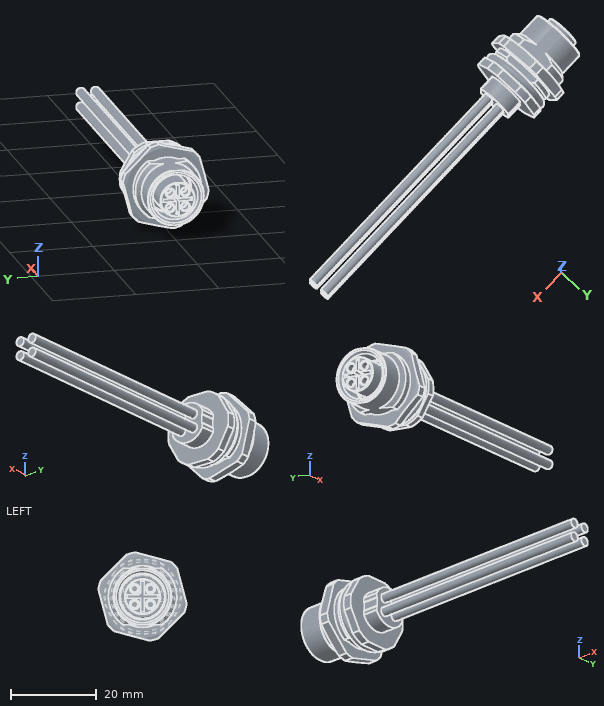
import cadquery as cq
import math

total_length = 83.7
sleeve_start = 1.6
shoulder_start = 7.6
shoulder_end = 8.6
nut_start = 10.7
nut_end = 13.3
thread_chamfer_start = 14.6
thread_end = 15.3
flange_start = 17.3
flange_end = 19.5
rear_body_end = 23.5

sleeve_radius = 6.8
sleeve_edge_chamfer = 0.2
thread_radius = 7.95
thread_end_radius = 7.4
neck_radius = 6.5
flat_height = 6.6

socket_radius = 10.9 / 2
socket_mouth_radius = 12.2 / 2
socket_floor = 8.4
insert_radius = 8.3 / 2
insert_edge_chamfer = 0.2
seal_tube_radius = 1.1 / 2
seal_ring_radius = 4.6

contact_offset = 1.8
contact_mouth_diameter = 2.3
contact_hole_diameter = 1.8
contact_bore_diameter = 1.6
contact_hole_depth = 2.5
contact_bore_depth = 5.0
slot_width = 0.75
slot_length = 7.0
slot_depth = 4.2
slot_corner_leg = 0.6

nut_across_flats = 19.1
nut_corner_diameter = 20.9
nut_turn = 15.0
nut_face_chamfer = 0.25
nut_bore_radius = 7.2
hexagon_sides = 6
flange_across_flats = 17.1
flange_corner_diameter = 18.0

o_ring_tube_radius = 2.3 / 2
o_ring_radius = 7.6
o_ring_position = 16.3

rear_body_radius = 4.9
rear_flat_distance = 4.4
rear_groove_width = 2.2
rear_groove_depth = 0.2
wire_diameter = 2.3
wire_offset = 1.75


def cylinder(radius, start, end):
    """Solid cylinder on the X axis."""
    return cq.Workplane("YZ", origin=(start, 0, 0)).circle(radius).extrude(end - start)


def torus(ring_radius, tube_radius, position):
    """Ring around the X axis."""
    tube = cq.Workplane("XY").center(position, ring_radius).circle(tube_radius)
    return tube.revolve(360, (0, -ring_radius, 0), (1, -ring_radius, 0))


def block(start, end, width, height, y=0):
    """Block from start to end along X, width along Y and height along Z, centred at y."""
    return cq.Workplane("YZ", origin=(start, y, 0)).rect(width, height).extrude(end - start)


def revolve_profile(points):
    """Turn a closed (x, radius) outline around the X axis."""
    return cq.Workplane("XY").polyline(points).close().revolve(360, (0, 0, 0), (1, 0, 0))


def round_cornered_hexagon(across_flats, corner_diameter, start, end, turn):
    """Hexagonal plate with its corners on a circle; at turn 0 two corners lie on the Y axis."""
    hexagon = (
        cq.Workplane("YZ", origin=(start, 0, 0))
        .polygon(hexagon_sides, across_flats / math.cos(math.pi / hexagon_sides))
        .extrude(end - start)
        .rotate((0, 0, 0), (1, 0, 0), turn)
    )
    return hexagon.intersect(cylinder(corner_diameter / 2, start, end))


def square_pattern(offset):
    """The four (y, z) places of the contacts or wires."""
    return [(y, z) for y in (-offset, offset) for z in (-offset, offset)]


def make_threaded_body():
    body = revolve_profile([
        (sleeve_start, 0),
        (sleeve_start, sleeve_radius - sleeve_edge_chamfer),
        (sleeve_start + sleeve_edge_chamfer, sleeve_radius),
        (shoulder_start, sleeve_radius),
        (shoulder_end, thread_radius),
        (thread_chamfer_start, thread_radius),
        (thread_end, thread_end_radius),
        (thread_end, neck_radius),
        (flange_start, neck_radius),
        (flange_start, 0),
    ])
    return body.intersect(block(sleeve_start, flange_start, 2 * thread_radius, 2 * flat_height))


def make_socket():
    mouth_depth = socket_mouth_radius - socket_radius
    return revolve_profile([
        (sleeve_start, 0),
        (sleeve_start, socket_mouth_radius),
        (sleeve_start + mouth_depth, socket_radius),
        (socket_floor, socket_radius),
        (socket_floor, 0),
    ])


def make_insert():
    insert = cylinder(insert_radius, 0, socket_floor)
    insert = insert.faces("<X").chamfer(insert_edge_chamfer)
    contacts = square_pattern(contact_offset)
    face = cq.Workplane("YZ").pushPoints(contacts)
    mouth_flare = (contact_mouth_diameter - contact_hole_diameter) / 2
    insert = insert.cut(face.circle(contact_mouth_diameter / 2).extrude(mouth_flare, taper=45))
    insert = insert.cut(face.circle(contact_hole_diameter / 2).extrude(contact_hole_depth))
    insert = insert.cut(face.circle(contact_bore_diameter / 2).extrude(contact_bore_depth))
    insert = insert.cut(block(0, slot_depth, slot_width, slot_length))
    insert = insert.cut(block(0, slot_depth, slot_length, slot_width))
    corner = slot_width / 2
    relief_end = corner + slot_corner_leg
    relief = (
        cq.Workplane("YZ")
        .polyline([(0, 0), (relief_end, 0), (relief_end, corner), (corner, relief_end), (0, relief_end)])
        .close()
        .extrude(slot_depth)
    )
    return insert.cut(relief)


def make_nut():
    nut = round_cornered_hexagon(nut_across_flats, nut_corner_diameter, nut_start, nut_end, nut_turn)
    corner_radius = nut_corner_diameter / 2
    face_radius = nut_across_flats / 2
    chamfer_cone = revolve_profile([
        (nut_start, 0),
        (nut_start, face_radius),
        (nut_start + nut_face_chamfer, corner_radius),
        (nut_end, corner_radius),
        (nut_end, 0),
    ])
    return nut.intersect(chamfer_cone).cut(cylinder(nut_bore_radius, nut_start, nut_end))


def make_rear_body():
    rear_body = cylinder(rear_body_radius, flange_end, rear_body_end)
    rear_body = rear_body.intersect(
        block(flange_end, rear_body_end, 2 * rear_flat_distance, 2 * rear_body_radius)
    )
    for side in (-1, 1):
        rear_body = rear_body.cut(
            block(flange_end, rear_body_end, 2 * rear_groove_depth, rear_groove_width,
                  y=side * rear_flat_distance)
        )
    return rear_body


def make_wires():
    return (
        cq.Workplane("YZ", origin=(flange_end, 0, 0))
        .pushPoints(square_pattern(wire_offset))
        .circle(wire_diameter / 2)
        .extrude(total_length - flange_end)
    )


result = (
    make_threaded_body()
    .cut(make_socket())
    .union(make_insert())
    .union(torus(seal_ring_radius, seal_tube_radius, socket_floor))
    .union(make_nut())
    .union(torus(o_ring_radius, o_ring_tube_radius, o_ring_position))
    .union(round_cornered_hexagon(flange_across_flats, flange_corner_diameter, flange_start, flange_end, 0))
    .union(make_rear_body())
    .union(make_wires())
)